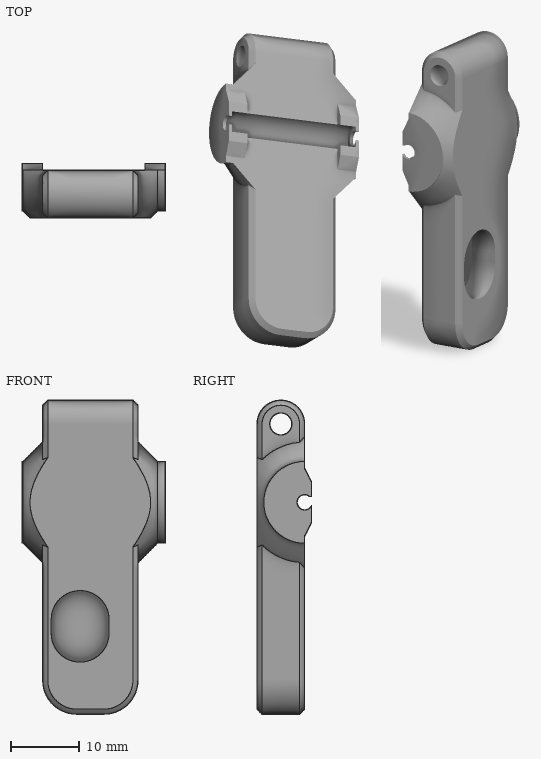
import cadquery as cq


LEVER_WIDTH = 14.0
LEVER_THICKNESS = 7.0
LEVER_TOP = 15.0
LEVER_BOTTOM = -31.1
BOTTOM_CORNER_RADIUS = 5.0
EDGE_CHAMFER = 0.75
TOP_RADIUS = LEVER_THICKNESS / 2
HINGE_HOLE_DIAMETER = 3.2

HUB_END_RADIUS = 6.0
HUB_LEFT = -10.0
HUB_RIGHT = 11.0
CONE_HALF_LENGTH = 9.85
CONE_INNER_X = LEVER_WIDTH / 2 - EDGE_CHAMFER
CONE_ROOT_RADIUS = HUB_END_RADIUS + CONE_HALF_LENGTH - CONE_INNER_X

EAR_LENGTH = 3.0
EAR_HEIGHT = 1.0
EAR_BASE_HALF_WIDTH = 5.0
EAR_TIP_HALF_WIDTH = 3.0

PIN_DIAMETER = 2.2
PIN_ENTRY_HEIGHT = 0.85
CHANNEL_DIAMETER = 3.7
END_WALL = 0.5

POCKET_WIDTH = 8.5
POCKET_LENGTH = 10.5
POCKET_DEPTH = 4.0
POCKET_CENTER_X = -1.5
POCKET_CENTER_Z = -18.2


def make_lever():
    """Bar with a fully rounded top, rounded bottom corners and chamfered outline."""
    hinge_z = LEVER_TOP - TOP_RADIUS
    bar = (
        cq.Workplane("YZ")
        .moveTo(0, LEVER_BOTTOM)
        .lineTo(0, hinge_z)
        .threePointArc((-TOP_RADIUS, LEVER_TOP), (-LEVER_THICKNESS, hinge_z))
        .lineTo(-LEVER_THICKNESS, LEVER_BOTTOM)
        .close()
        .extrude(LEVER_WIDTH / 2, both=True)
    )
    bar = bar.edges("|Y and <Z").fillet(BOTTOM_CORNER_RADIUS)
    return bar.edges("%CIRCLE or |Z or (|X and <Z)").chamfer(EDGE_CHAMFER)


def make_hub():
    """Double cone with short cylindrical ends, trimmed to the thickness of the lever."""
    revolved = (
        cq.Workplane("XY")
        .moveTo(HUB_LEFT, 0)
        .lineTo(HUB_LEFT, HUB_END_RADIUS)
        .lineTo(-CONE_HALF_LENGTH, HUB_END_RADIUS)
        .lineTo(-CONE_INNER_X, CONE_ROOT_RADIUS)
        .lineTo(CONE_INNER_X, CONE_ROOT_RADIUS)
        .lineTo(CONE_HALF_LENGTH, HUB_END_RADIUS)
        .lineTo(HUB_RIGHT, HUB_END_RADIUS)
        .lineTo(HUB_RIGHT, 0)
        .close()
        .revolve(360, (0, 0, 0), (1, 0, 0))
    )
    trim = cq.Workplane("XY").box(
        HUB_RIGHT - HUB_LEFT,
        LEVER_THICKNESS,
        2 * CONE_ROOT_RADIUS,
    )
    trim = trim.translate(((HUB_LEFT + HUB_RIGHT) / 2, -LEVER_THICKNESS / 2, 0))
    return revolved.intersect(trim)


def make_ear(start_x):
    """Trapezoidal ear on the back face, running in +X from start_x."""
    return (
        cq.Workplane("YZ", origin=(start_x, 0, 0))
        .moveTo(0, -EAR_BASE_HALF_WIDTH)
        .lineTo(EAR_HEIGHT, -EAR_TIP_HALF_WIDTH)
        .lineTo(EAR_HEIGHT, EAR_TIP_HALF_WIDTH)
        .lineTo(0, EAR_BASE_HALF_WIDTH)
        .close()
        .extrude(EAR_LENGTH)
    )


def make_hinge_hole():
    """Cross hole concentric with the rounded top."""
    return (
        cq.Workplane("YZ")
        .center(-TOP_RADIUS, LEVER_TOP - TOP_RADIUS)
        .circle(HINGE_HOLE_DIAMETER / 2)
        .extrude(LEVER_WIDTH / 2, both=True)
    )


def make_pin_seat():
    """Pin bore through the end walls, its entry slot above the axis, and the inner channel."""
    hub_length = HUB_RIGHT - HUB_LEFT
    end_plane = cq.Workplane("YZ", origin=(HUB_LEFT, 0, 0))
    bore = end_plane.circle(PIN_DIAMETER / 2).extrude(hub_length)
    entry = end_plane.rect(EAR_HEIGHT, PIN_ENTRY_HEIGHT, centered=False).extrude(hub_length)
    channel = (
        cq.Workplane("YZ", origin=(HUB_LEFT + END_WALL, 0, 0))
        .circle(CHANNEL_DIAMETER / 2)
        .extrude(hub_length - 2 * END_WALL)
    )
    return bore.union(entry).union(channel)


def make_pocket():
    """Upright oblong pocket cut in from the front face."""
    return (
        cq.Workplane("XZ", origin=(POCKET_CENTER_X, -LEVER_THICKNESS, POCKET_CENTER_Z))
        .slot2D(POCKET_LENGTH, POCKET_WIDTH, 90)
        .extrude(-POCKET_DEPTH)
    )


result = make_lever().union(make_hub())
for ear_start in (HUB_LEFT, HUB_RIGHT - EAR_LENGTH):
    result = result.union(make_ear(ear_start))
for cutter in (make_hinge_hole(), make_pin_seat(), make_pocket()):
    result = result.cut(cutter)